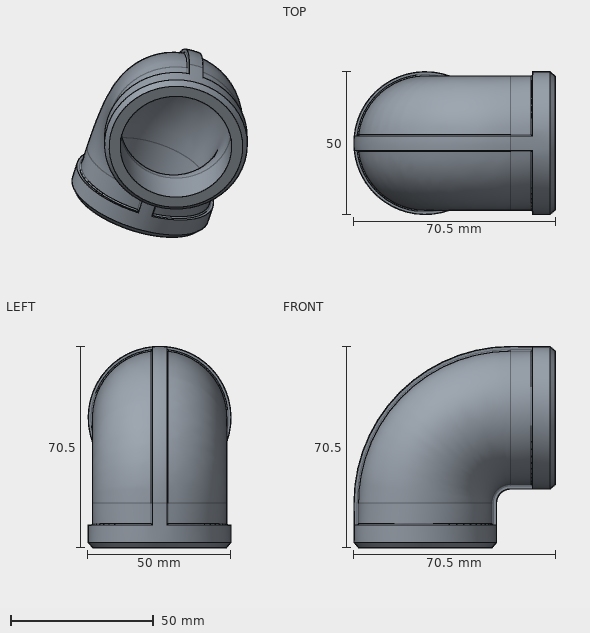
import cadquery as cq

length = 70.5
outer_d = 50.0
body_d = 47.0
bore_d = 39.0
leg_length = 15.65
collar_length = 8.0
chamfer_axial = 1.9
chamfer_radial = 1.6
rib_width = 5.0
root_fillet = 0.5

end = length / 2
axis_offset = end - outer_d / 2
bend_start = end - leg_length
bend_r = bend_start + axis_offset
collar_face = end - collar_length
tolerance = 0.01


def to_side_leg(lower_feature):
    """Copy a feature of the lower leg onto the side leg, across the plane x = -z."""
    return lower_feature.rotate((0, 0, 0), (0, 1, 0), 90).rotate((0, 0, 0), (0, 0, 1), 180)


def lower_disc(diameter, distance):
    """Disc across the lower leg, at a distance below the part centre."""
    return cq.Workplane("XY", origin=(-axis_offset, 0, -distance)).circle(diameter / 2)


def elbow(diameter, leg_end):
    """Round elbow whose two straight legs end at leg_end from the part centre."""
    leg = lower_disc(diameter, leg_end).extrude(leg_end - bend_start)
    bend = lower_disc(diameter, bend_start).revolve(90, (bend_r, 0, 0), (bend_r, 1, 0))
    return bend.union(leg).union(to_side_leg(leg))


def collar():
    """Chamfered end ring of the lower leg."""
    rim = lower_disc(outer_d, end).extrude(collar_length)
    return rim.faces("<Z").edges().chamfer(chamfer_axial, chamfer_radial)


def rib():
    """Band around the plane of the bend, standing out as far as the collars."""
    band = cq.Workplane("XY").box(2 * length, rib_width, 2 * length)
    return elbow(outer_d, collar_face).intersect(band)


def is_root_edge(edge):
    """True where a rib side or a collar face meets the round body."""
    points = [edge.positionAt(step) for step in (0, 0.5, 1)]

    def axis_distance(point):
        if point.z < -bend_start:
            across = point.x + axis_offset
        elif point.x > bend_start:
            across = point.z - axis_offset
        else:
            across = bend_r - ((point.x - bend_start) ** 2 + (point.z + bend_start) ** 2) ** 0.5
        return (across**2 + point.y**2) ** 0.5

    on_body = all(abs(axis_distance(p) - body_d / 2) < tolerance for p in points)
    on_rib = all(abs(abs(p.y) - rib_width / 2) < tolerance for p in points)
    on_lower_collar = all(abs(p.z + collar_face) < tolerance for p in points)
    on_side_collar = all(abs(p.x - collar_face) < tolerance for p in points)
    return on_body and (on_rib or on_lower_collar or on_side_collar)


lower_collar = collar()
shell = elbow(body_d, end - chamfer_axial).union(rib())
shell = shell.union(lower_collar).union(to_side_leg(lower_collar))
shell = shell.edges().filter(is_root_edge).fillet(root_fillet)
result = shell.cut(elbow(bore_d, end))